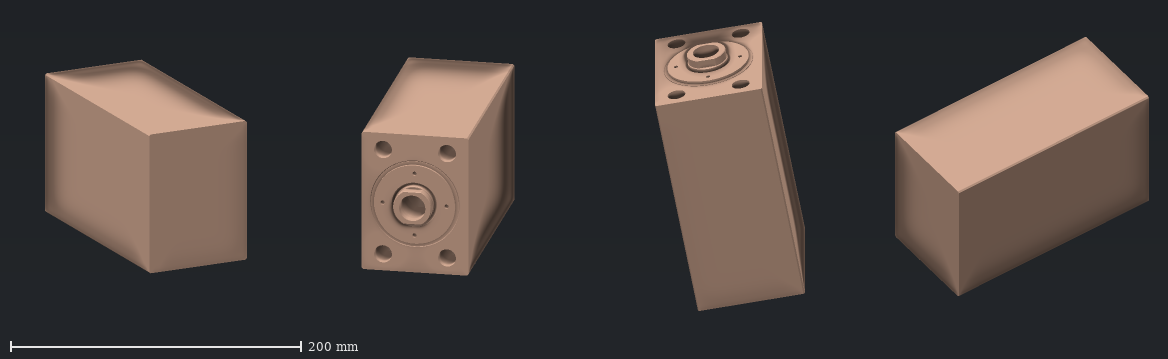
import cadquery as cq
import math


BLOCK_LENGTH = 162.0
BLOCK_WIDTH = 75.0
BLOCK_HEIGHT = 100.0
EDGE_CHAMFER = 1.0
BOLT_HOLE_DIAMETER = 12.5
BOLT_HOLE_DEPTH = 25.0
BOLT_SPACING_Y = 45.0
BOLT_SPACING_Z = 76.0
SEAT_CHAMFER = 0.5

CAP_DIAMETER = 62.0
CAP_DEPTH = 40.0
CAP_BOSS_DIAMETER = 57.0
CAP_BOSS_HEIGHT = 2.0
SPANNER_HOLE_DIAMETER = 3.0
SPANNER_HOLE_DEPTH = 4.0
SPANNER_HOLE_COUNT = 4
SPANNER_CIRCLE_DIAMETER = 45.0
MOUTH_DIAMETER = 32.0
MOUTH_FLOOR_DIAMETER = 29.0

ROD_DIAMETER = 28.0
ROD_SHOULDER = 4.0
SHOULDER_CHAMFER_LENGTH = 0.5
HEAD_DIAMETER = 27.0
HEAD_LENGTH = 6.0
HEAD_CHAMFER = 0.5
ACROSS_FLATS = 24.0
ROD_BORE_DIAMETER = 18.5
ROD_BORE_DEPTH = 30.0

DRILL_POINT_ANGLE = 118.0

CAP_FRONT = -CAP_BOSS_HEIGHT
SHOULDER_FRONT = -ROD_SHOULDER
ROD_TIP = SHOULDER_FRONT - HEAD_LENGTH


def revolve_about_x(points):
    """Turn a closed outline of (x, radius) points about the X axis."""
    return cq.Workplane("XY").polyline(points).close().revolve(360, (0, 0, 0), (1, 0, 0))


def drilled_hole(diameter, depth, mouth_x, y=0.0, z=0.0):
    """Blind hole along +X with a conical drill point beyond its full depth."""
    radius = diameter / 2
    bottom = mouth_x + depth
    point = bottom + radius / math.tan(math.radians(DRILL_POINT_ANGLE / 2))
    hole = revolve_about_x([(mouth_x, 0), (mouth_x, radius), (bottom, radius), (point, 0)])
    return hole.translate((0, y, z))


def make_block():
    block = (
        cq.Workplane("YZ")
        .rect(BLOCK_WIDTH, BLOCK_HEIGHT)
        .extrude(BLOCK_LENGTH)
        .edges("|X")
        .chamfer(EDGE_CHAMFER)
    )
    seat_radius = CAP_DIAMETER / 2
    seat = revolve_about_x([
        (0, 0),
        (0, seat_radius + SEAT_CHAMFER),
        (SEAT_CHAMFER, seat_radius),
        (CAP_DEPTH, seat_radius),
        (CAP_DEPTH, 0),
    ])
    block = block.cut(seat)
    for y in (-BOLT_SPACING_Y / 2, BOLT_SPACING_Y / 2):
        for z in (-BOLT_SPACING_Z / 2, BOLT_SPACING_Z / 2):
            block = block.cut(drilled_hole(BOLT_HOLE_DIAMETER, BOLT_HOLE_DEPTH, 0, y, z))
    return block


def make_cap():
    rod_radius = ROD_DIAMETER / 2
    mouth_radius = MOUTH_DIAMETER / 2
    mouth_floor_radius = MOUTH_FLOOR_DIAMETER / 2
    mouth_floor = CAP_FRONT + mouth_radius - mouth_floor_radius
    cap = revolve_about_x([
        (CAP_FRONT, mouth_radius),
        (CAP_FRONT, CAP_BOSS_DIAMETER / 2),
        (0, CAP_BOSS_DIAMETER / 2),
        (0, CAP_DIAMETER / 2),
        (CAP_DEPTH, CAP_DIAMETER / 2),
        (CAP_DEPTH, rod_radius),
        (mouth_floor, rod_radius),
        (mouth_floor, mouth_floor_radius),
    ])
    for index in range(SPANNER_HOLE_COUNT):
        angle = 2 * math.pi * index / SPANNER_HOLE_COUNT
        y = SPANNER_CIRCLE_DIAMETER / 2 * math.cos(angle)
        z = SPANNER_CIRCLE_DIAMETER / 2 * math.sin(angle)
        cap = cap.cut(drilled_hole(SPANNER_HOLE_DIAMETER, SPANNER_HOLE_DEPTH, CAP_FRONT, y, z))
    return cap


def make_rod():
    rod_radius = ROD_DIAMETER / 2
    head_radius = HEAD_DIAMETER / 2
    rod = revolve_about_x([
        (ROD_TIP, 0),
        (ROD_TIP, head_radius),
        (SHOULDER_FRONT, head_radius),
        (SHOULDER_FRONT + SHOULDER_CHAMFER_LENGTH, rod_radius),
        (CAP_DEPTH, rod_radius),
        (CAP_DEPTH, 0),
    ])
    flat_cut_height = (HEAD_DIAMETER - ACROSS_FLATS) / 2
    flat_cut_centre = (HEAD_DIAMETER + ACROSS_FLATS) / 4
    for side in (-1, 1):
        cutter = (
            cq.Workplane("XY")
            .box(HEAD_LENGTH, HEAD_DIAMETER, flat_cut_height)
            .translate((ROD_TIP + HEAD_LENGTH / 2, 0, side * flat_cut_centre))
        )
        rod = rod.cut(cutter)
    rod = rod.faces("<X").chamfer(HEAD_CHAMFER)
    return rod.cut(drilled_hole(ROD_BORE_DIAMETER, ROD_BORE_DEPTH, ROD_TIP))


block = make_block()
cap = make_cap()
rod = make_rod()

result = cq.Compound.makeCompound([block.val(), cap.val(), rod.val()])